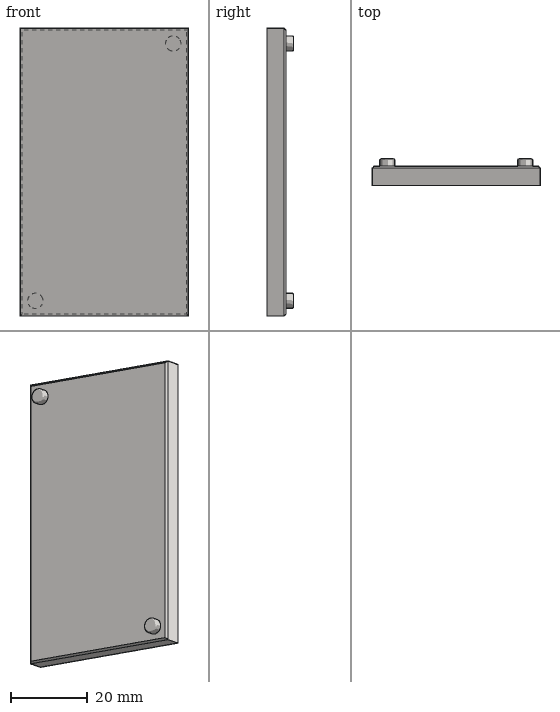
import cadquery as cq

plate_width = 44.0
plate_height = 75.25
overall_depth = 7.0
plate_edge_chamfer = 0.5

pin_diameter = 4.0
pin_length = 1.95
pin_inset = 4.0
pin_tip_rounding = 0.45

plate_depth = overall_depth - pin_length
pin_offset_x = plate_width / 2 - pin_inset
pin_offset_z = plate_height / 2 - pin_inset
pin_centers = [(side * pin_offset_x, side * pin_offset_z) for side in (-1, 1)]


def make_plate():
    """Rectangular plate with its front face on Y = 0 and a chamfered back rim."""
    plate = cq.Workplane("XY").box(
        plate_width, plate_depth, plate_height, centered=(True, False, True)
    )
    return plate.faces(">Y").edges().chamfer(plate_edge_chamfer)


def make_pins():
    """Two round pins rising from the back face, with rounded tips."""
    pins = (
        cq.Workplane("XZ", origin=(0, plate_depth, 0))
        .pushPoints(pin_centers)
        .circle(pin_diameter / 2)
        .extrude(-pin_length)
    )
    return pins.faces(">Y").edges().fillet(pin_tip_rounding)


result = make_plate().union(make_pins())